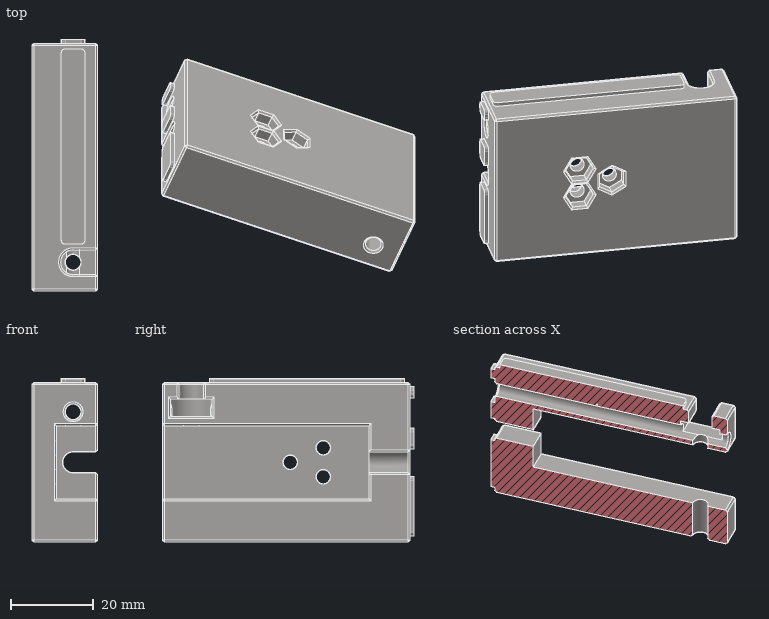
import cadquery as cq

PAD_HEIGHT = 1.0
WIDTH = 16.0
LENGTH = 61 - PAD_HEIGHT
HEIGHT = 39.6 - PAD_HEIGHT
EDGE_CHAMFER = 0.5
CENTER_X = 10.0

CHAMBER_LEFT = 6.0
CHAMBER_HEIGHT = 17.7
MID_Z = HEIGHT / 2
CHAMBER_Z = (MID_Z - CHAMBER_HEIGHT / 2, MID_Z + CHAMBER_HEIGHT / 2)
REAR_WALL = 10.0

SLOT_WIDTH = 5.0

NOTCH_Y = 7.0
NECK_WIDTH = 6.0
GROOVE_WIDTH = 10.0
GROOVE_BOTTOM = 30.45
LIP_THICKNESS = 4.0
GROOVE_TOP = HEIGHT - LIP_THICKNESS

BORE_DIAMETER = 3.8
BORE_Z = 31.55

SCREW_DIAMETER = 3.4
NUT_FLATS = 6.0
NUT_DEPTH = 3.0
NUT_PITCH = 7.0
PAIR_Y = 39.0
SINGLE_Y = 31.0

PAD_WIDTH = 5.75
PAD_CORNER = 1.0
TOP_PAD_Y = (11.4, 58.7)
REAR_PADS_Z = [(1.4, 15.9), (22.5, 27.65), (34.85, 37.7)]


def box(x_range, y_range, z_range):
    """Box spanning the given (low, high) ranges."""
    sizes = [high - low for low, high in (x_range, y_range, z_range)]
    corner = (x_range[0], y_range[0], z_range[0])
    return cq.Workplane("XY").box(*sizes, centered=False).translate(corner)


def open_slot(width, depth):
    """Slot along +X with its round end centred on the origin, extruded along +Z."""
    radius = width / 2
    return (
        cq.Workplane("XY")
        .moveTo(WIDTH, radius)
        .lineTo(0, radius)
        .threePointArc((-radius, 0), (0, -radius))
        .lineTo(WIDTH, -radius)
        .close()
        .extrude(depth)
    )


def t_slot():
    """Narrow neck through the top with a wider groove below it."""
    neck = open_slot(NECK_WIDTH, HEIGHT - GROOVE_BOTTOM)
    groove = open_slot(GROOVE_WIDTH, GROOVE_TOP - GROOVE_BOTTOM)
    return neck.union(groove).translate((CENTER_X, NOTCH_Y, GROOVE_BOTTOM))


def rear_slot():
    slot = open_slot(SLOT_WIDTH, REAR_WALL).rotate((0, 0, 0), (1, 0, 0), -90)
    return slot.translate((CENTER_X, LENGTH - REAR_WALL, MID_Z))


def hexagon(flats, turn):
    """Hexagonal sketch on a plane facing +X; a turn of 0 puts two corners along Z."""
    plane = cq.Workplane("YZ").transformed(rotate=(0, 0, turn))
    return plane.polygon(6, flats, circumscribed=True)


def nut_hole(y, z, turn):
    """Through hole with a nut pocket whose mouth is chamfered."""
    pocket = hexagon(NUT_FLATS, turn).extrude(NUT_DEPTH)
    mouth = (
        hexagon(NUT_FLATS + 2 * EDGE_CHAMFER, turn)
        .workplane(offset=EDGE_CHAMFER)
        .polygon(6, NUT_FLATS, circumscribed=True)
        .loft(ruled=True)
    )
    hole = cq.Workplane("YZ").circle(SCREW_DIAMETER / 2).extrude(WIDTH)
    return pocket.union(mouth).union(hole).translate((0, y, z))


def pad(length):
    """Pad centred on the origin, standing on the XY plane with its length along Y."""
    return cq.Workplane("XY").rect(PAD_WIDTH, length).extrude(PAD_HEIGHT).edges("|Z").fillet(PAD_CORNER)


block = box((0, WIDTH), (0, LENGTH), (0, HEIGHT))
block = block.cut(box((CHAMBER_LEFT, WIDTH), (0, LENGTH - REAR_WALL), CHAMBER_Z))
block = block.cut(rear_slot())
block = block.cut(t_slot())

long_bore = cq.Workplane("XZ", origin=(CENTER_X, 0, BORE_Z)).circle(BORE_DIAMETER / 2).extrude(-LENGTH)
cross_bore = cq.Workplane("XY", origin=(CENTER_X, NOTCH_Y, 0)).circle(BORE_DIAMETER / 2).extrude(GROOVE_TOP)
block = block.cut(long_bore).cut(cross_bore)

block = block.faces("<X or >X or <Y or >Y or <Z or >Z").edges().chamfer(EDGE_CHAMFER)

for side in (-1, 1):
    block = block.cut(nut_hole(PAIR_Y, MID_Z + side * NUT_PITCH / 2, 30))
block = block.cut(nut_hole(SINGLE_Y, MID_Z, 0))

pad_start, pad_end = TOP_PAD_Y
top_pad = pad(pad_end - pad_start).translate((CENTER_X, (pad_start + pad_end) / 2, HEIGHT))
result = block.union(top_pad)
for low, high in REAR_PADS_Z:
    rear_pad = pad(high - low).rotate((0, 0, 0), (1, 0, 0), -90)
    result = result.union(rear_pad.translate((CENTER_X, LENGTH, (low + high) / 2)))